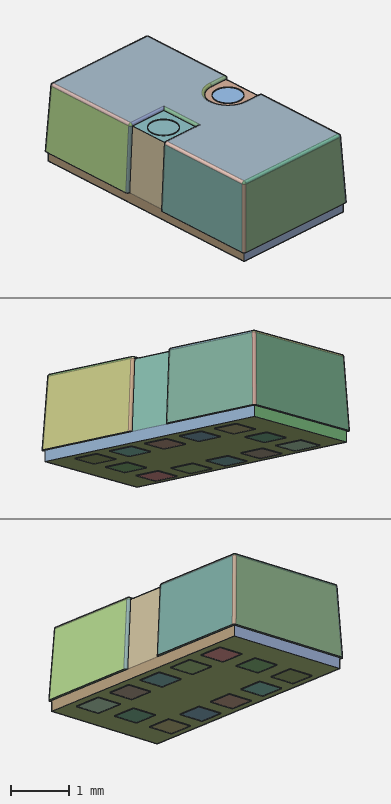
import cadquery as cq
import math

length = 4.9
width = 2.5
height = 1.57
pad_thickness = 0.015
base_thickness = 0.2
draft_angle = 3.0
edge_radius = 0.05

base_inset = 0.05
cap_bottom = pad_thickness + base_thickness
cap_height = height - cap_bottom

window_width = 0.8
window_center_y = 0.78
square_window_end_y = -0.375
window_depth = 0.05

core_end_inset = 2 * edge_radius

aperture_diameter = 0.55
aperture_depth = 0.015

pad_size = 0.5
pad_pitch = 0.8
pad_columns = 5
pad_rows = 3
index_pad_extension = 0.08


def drafted_block(size_x, size_y, block_height):
    """Block standing on the base, its four sides leaning inward."""
    return (
        cq.Workplane("XY", origin=(0, 0, cap_bottom))
        .rect(size_x, size_y)
        .extrude(block_height, taper=draft_angle)
    )


def upright_box(x_min, x_max, y_min, y_max, z_min, z_max):
    return (
        cq.Workplane("XY")
        .box(x_max - x_min, y_max - y_min, z_max - z_min, centered=False)
        .translate((x_min, y_min, z_min))
    )


def window_cutters():
    """Full-height cutters: a round-ended slot towards +Y and a square slot towards -Y."""
    half_window = window_width / 2
    round_slot = upright_box(-half_window, half_window, window_center_y, width, 0, height).union(
        cq.Workplane("XY").center(0, window_center_y).circle(half_window).extrude(height)
    )
    square_slot = upright_box(-half_window, half_window, -width, square_window_end_y, 0, height)
    return round_slot.union(square_slot)


def rounded_cap():
    """Drafted cap with both windows cut through and its outer edges rounded."""
    cap = drafted_block(length, width, cap_height).cut(window_cutters())
    draft_run = cap_height * math.tan(math.radians(draft_angle))
    long_side_limit = width / 2 - draft_run - edge_radius
    outer_edges = [
        edge for edge in cap.edges("not #Z").vals() if abs(edge.Center().y) > long_side_limit
    ]
    top_edges = cap.faces(">Z").edges().vals()
    return cap.newObject(outer_edges + top_edges).fillet(edge_radius)


def core():
    """Inner block that closes the windows just below the cap's surfaces."""
    block = drafted_block(
        length - 2 * core_end_inset, width - 2 * window_depth, cap_height - window_depth
    )
    apertures = (
        cq.Workplane("XY", origin=(0, 0, height - window_depth - aperture_depth))
        .pushPoints([(0, window_center_y), (0, -window_center_y)])
        .circle(aperture_diameter / 2)
        .extrude(aperture_depth)
    )
    return block.cut(apertures)


def base():
    return upright_box(
        base_inset - length / 2, length / 2 - base_inset,
        base_inset - width / 2, width / 2 - base_inset,
        pad_thickness, cap_bottom,
    )


def pads():
    """Ring of equal pads; the corner pad at -X, -Y is longer, as an index mark."""
    ring = cq.Workplane("XY")
    for column in range(pad_columns):
        for row in range(pad_rows):
            if 0 < column < pad_columns - 1 and 0 < row < pad_rows - 1:
                continue
            x_min = (column - (pad_columns - 1) / 2) * pad_pitch - pad_size / 2
            y_min = (row - (pad_rows - 1) / 2) * pad_pitch - pad_size / 2
            extension = index_pad_extension if column == row == 0 else 0
            ring = ring.union(
                upright_box(
                    x_min - extension, x_min + pad_size,
                    y_min, y_min + pad_size,
                    0, pad_thickness,
                )
            )
    return ring


result = rounded_cap().union(core()).union(base()).union(pads())